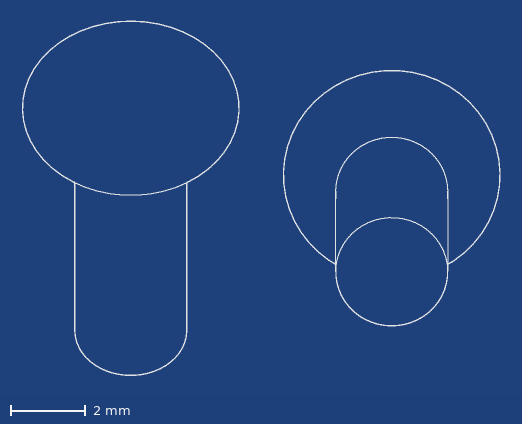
import cadquery as cq

length = 10.0
head_diameter = 5.8
head_height = 1.7
shank_diameter = 3.0

head_radius = head_diameter / 2
shank_radius = shank_diameter / 2
shank_length = length - head_height

half_profile = (
    cq.Workplane("XZ")
    .moveTo(0, 0)
    .lineTo(shank_radius, 0)
    .lineTo(shank_radius, shank_length)
    .lineTo(head_radius, length)
    .lineTo(0, length)
    .close()
)

result = half_profile.revolve(360, (0, 0, 0), (0, 1, 0))